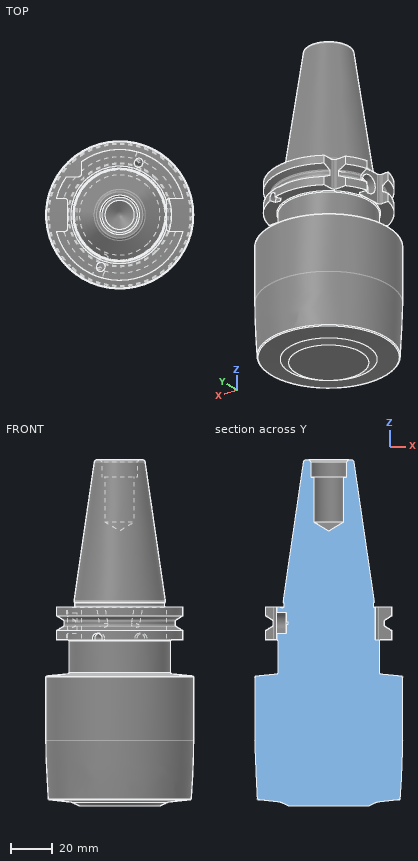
import cadquery as cq
import math


total_height = 168.4
gauge_z = 100.0
flange_top_z = 96.8
flange_bottom_z = 80.8
groove_z = 88.9
nut_top_z = 64.3
nut_split_z = 31.8
nut_bottom_z = 3.0

gauge_radius = 22.2
taper_slope = 7 / 48
tip_radius = gauge_radius - taper_slope * (total_height - gauge_z)
tip_rounding = 1.0

relief_depth = 0.3
relief_top_z = 99.2
relief_ramp = 0.5
relief_corner_radius = 0.8
relief_rim_radius = 23.7

pilot_radius = 8.6
pilot_depth = 8.5
pilot_chamfer = 1.0
thread_radius = 7.0
thread_depth = 30.3
drill_tip_angle = 118.0

flange_radius = 31.8
groove_root_radius = 28.3
groove_root_width = 2.7
groove_mouth_width = 7.2
groove_root_fillet = 0.7

slot_width = 16.2
deep_slot_x = 22.7
shallow_slot_x = 25.3
notch_offset = 18.5
corner_radius = 1.5
cut_clearance = 1.7

chip_diameter = 10.0
chip_depth = 4.5
chip_pilot_diameter = 1.0
chip_pilot_depth = 0.8

coolant_angles = (70, 250)
coolant_diameter = 4.0
coolant_radius = 27.0
coolant_tilt = 28.0
coolant_depth = 10.1
plug_diameter = 5.0
plug_height = 0.7
plug_depth = 3.4

neck_radius = 24.8
neck_end_chamfer = 0.5
nut_radius = 36.0
nut_shoulder_drop = 1.0
nut_edge = 0.5
nut_low_radius = 34.9
nut_bulge_radius = 35.7
nose_rim_radius = 23.5
nose_rim_z = 1.9
nose_radius = 19.5


def drill_tip_length(radius):
    return radius / math.tan(math.radians(drill_tip_angle / 2))


def make_body():
    """Revolve the whole outer shape, from the nose of the nut up to the tip of the taper."""
    root_half = groove_root_width / 2
    mouth_half = groove_mouth_width / 2
    relief_radius = gauge_radius - relief_depth
    relief_floor_z = flange_top_z - relief_depth
    tip_inset = tip_rounding * (1 - math.sqrt(0.5))
    corner_inset = relief_corner_radius * (1 - math.sqrt(0.5))
    nut_rim_z = nut_top_z - nut_shoulder_drop
    nut_base_z = nut_bottom_z + nut_edge
    profile = (
        cq.Workplane("XZ")
        .moveTo(0, 0)
        .lineTo(nose_radius, 0)
        .lineTo(nose_rim_radius, nose_rim_z)
        .lineTo(nut_low_radius - nut_edge, nut_bottom_z)
        .lineTo(nut_low_radius, nut_base_z)
        .threePointArc((nut_bulge_radius, (nut_base_z + nut_split_z) / 2), (nut_radius, nut_split_z))
        .lineTo(nut_radius, nut_rim_z - nut_edge)
        .lineTo(nut_radius - nut_edge, nut_rim_z)
        .lineTo(neck_radius + neck_end_chamfer, nut_top_z)
        .lineTo(neck_radius, nut_top_z + neck_end_chamfer)
        .lineTo(neck_radius, flange_bottom_z - neck_end_chamfer)
        .lineTo(neck_radius + neck_end_chamfer, flange_bottom_z)
        .lineTo(flange_radius, flange_bottom_z)
        .lineTo(flange_radius, groove_z - mouth_half)
        .lineTo(groove_root_radius, groove_z - root_half)
        .lineTo(groove_root_radius, groove_z + root_half)
        .lineTo(flange_radius, groove_z + mouth_half)
        .lineTo(flange_radius, flange_top_z)
        .lineTo(relief_rim_radius, flange_top_z)
        .lineTo(relief_radius + relief_corner_radius, relief_floor_z)
        .threePointArc(
            (relief_radius + corner_inset, relief_floor_z + corner_inset),
            (relief_radius, relief_floor_z + relief_corner_radius),
        )
        .lineTo(relief_radius, relief_top_z - relief_ramp)
        .lineTo(gauge_radius, relief_top_z)
        .lineTo(gauge_radius, gauge_z)
        .lineTo(tip_radius + taper_slope * tip_rounding, total_height - tip_rounding)
        .threePointArc(
            (tip_radius - tip_inset, total_height - tip_inset),
            (tip_radius - tip_rounding, total_height),
        )
        .lineTo(0, total_height)
        .close()
    )
    body = profile.revolve(360, (0, 0, 0), (0, 1, 0))
    root_circles = cq.selectors.BoxSelector(
        (-1.7, -1.7, groove_z - groove_root_width),
        (1.7, 1.7, groove_z + groove_root_width),
    )
    return body.edges("%CIRCLE").edges(root_circles).fillet(groove_root_fillet)


def make_drawbar_bore():
    """Chamfered pilot bore, then the thread bore with its drill point."""
    pilot_floor_z = total_height - pilot_depth
    thread_end_z = total_height - thread_depth
    profile = (
        cq.Workplane("XZ")
        .moveTo(0, total_height)
        .lineTo(pilot_radius + pilot_chamfer, total_height)
        .lineTo(pilot_radius, total_height - pilot_chamfer)
        .lineTo(pilot_radius, pilot_floor_z)
        .lineTo(thread_radius, pilot_floor_z)
        .lineTo(thread_radius, thread_end_z)
        .lineTo(0, thread_end_z - drill_tip_length(thread_radius))
        .close()
    )
    return profile.revolve(360, (0, 0, 0), (0, 1, 0))


def flange_cutter(x_near, x_far, y_low, y_high):
    """Block through the full flange height, with rounded edges on its side nearest the axis."""
    block = cq.Workplane("XY").box(
        abs(x_far - x_near), y_high - y_low, flange_top_z - flange_bottom_z
    )
    near_edges = "|Z and <X" if x_near < x_far else "|Z and >X"
    if y_low > 0:
        near_edges += " and <Y"
    centre = ((x_near + x_far) / 2, (y_low + y_high) / 2, (flange_top_z + flange_bottom_z) / 2)
    return block.edges(near_edges).fillet(corner_radius).translate(centre)


def make_chip_pocket():
    """Round pocket in the shallow slot floor, with a small pilot hole in its own floor."""
    slot_floor = cq.Workplane("YZ", origin=(-shallow_slot_x, 0, groove_z))
    pocket = slot_floor.circle(chip_diameter / 2).extrude(chip_depth)
    pilot = slot_floor.circle(chip_pilot_diameter / 2).extrude(chip_depth + chip_pilot_depth)
    return pocket.union(pilot)


def drill(start, direction, diameter, depth):
    """Pointed drill that starts one diameter outside the surface."""
    axis = cq.Vector(*direction).normalized()
    entry = cq.Vector(*start) - axis * diameter
    radius = diameter / 2
    length = depth + diameter
    tip = drill_tip_length(radius)
    shaft = cq.Solid.makeCylinder(radius, length, entry, axis)
    point = cq.Solid.makeCone(radius, 0, tip, entry + axis * length, axis)
    return cq.Workplane(shaft).union(cq.Workplane(point))


def make_coolant_holes(angle):
    """Leaning hole in the flange top and the plug hole in the rim below it."""
    tilt = math.radians(coolant_tilt)
    leaning = drill(
        (coolant_radius, 0, flange_top_z),
        (-math.sin(tilt), 0, -math.cos(tilt)),
        coolant_diameter,
        coolant_depth,
    )
    plug = drill(
        (flange_radius, 0, flange_bottom_z + plug_height),
        (-1, 0, 0),
        plug_diameter,
        plug_depth,
    )
    flange_slab = (
        cq.Workplane("XY", origin=(0, 0, flange_bottom_z))
        .circle(2 * flange_radius)
        .extrude(flange_top_z - flange_bottom_z)
    )
    holes = leaning.union(plug.intersect(flange_slab))
    return holes.rotate((0, 0, 0), (0, 0, 1), angle)


def make_flange_cuts():
    """Drive slots and notch, limited to the flange so that the neck below stays round."""
    reach = flange_radius + cut_clearance
    half_slot = slot_width / 2
    return [
        flange_cutter(deep_slot_x, reach, -half_slot, half_slot),
        flange_cutter(-shallow_slot_x, -reach, -half_slot, half_slot),
        flange_cutter(-notch_offset, -reach, notch_offset, reach),
    ]


result = make_body().cut(make_drawbar_bore())
for cutter in make_flange_cuts():
    result = result.cut(cutter)
result = result.cut(make_chip_pocket())
for angle in coolant_angles:
    result = result.cut(make_coolant_holes(angle))